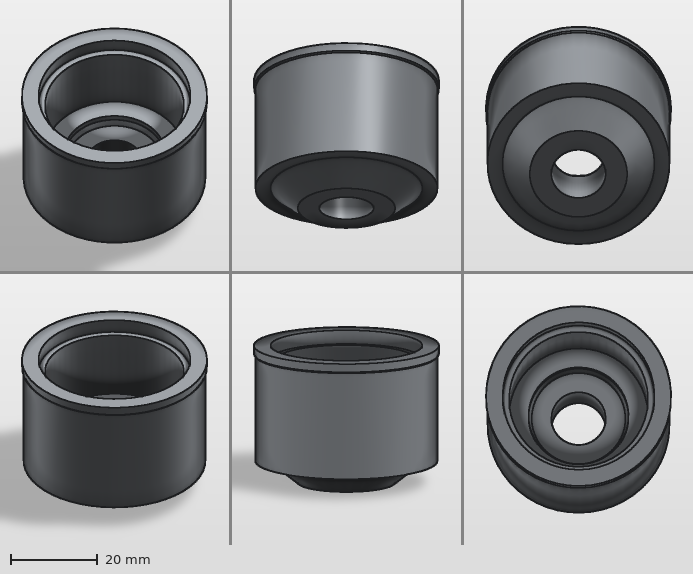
import cadquery as cq
import math

flange_diameter = 42.7
total_height = 32.2

flange_height = 2.25
body_diameter = 42.0
nose_height = 5.05
nose_top_diameter = 35.0
nose_bottom_diameter = 22.45

rim_recess_diameter = 35.0
rim_recess_depth = 3.2
bore_diameter = 32.02
bore_floor_depth = 19.0
seat_top_diameter = 23.05
seat_floor_diameter = 21.6
seat_wall_height = 1.32
seat_half_angle = 30.0
hole_diameter = 12.5


def revolve_half_section(points):
    """Closed half section of (radius, height) points turned once around the Z axis."""
    section = cq.Workplane("XZ").polyline(points).close()
    return section.revolve(360, (0, 0, 0), (0, 1, 0))


def make_outside():
    """Tapered nose, straight body and flange; a 45 degree taper joins body and flange."""
    flange_radius = flange_diameter / 2
    body_radius = body_diameter / 2
    flange_bottom = total_height - flange_height
    flange_taper_top = flange_bottom + (flange_radius - body_radius)
    return revolve_half_section([
        (0, 0),
        (nose_bottom_diameter / 2, 0),
        (nose_top_diameter / 2, nose_height),
        (body_radius, nose_height),
        (body_radius, flange_bottom),
        (flange_radius, flange_taper_top),
        (flange_radius, total_height),
        (0, total_height),
    ])


def make_cavity():
    """Rim recess, bore, seat with a tapered lower wall, and through hole."""
    ledge = total_height - rim_recess_depth
    bore_floor = total_height - bore_floor_depth
    seat_taper_top = bore_floor - seat_wall_height
    seat_taper_width = (seat_top_diameter - seat_floor_diameter) / 2
    seat_taper_height = seat_taper_width / math.tan(math.radians(seat_half_angle))
    seat_floor = seat_taper_top - seat_taper_height
    return revolve_half_section([
        (0, 0),
        (hole_diameter / 2, 0),
        (hole_diameter / 2, seat_floor),
        (seat_floor_diameter / 2, seat_floor),
        (seat_top_diameter / 2, seat_taper_top),
        (seat_top_diameter / 2, bore_floor),
        (bore_diameter / 2, bore_floor),
        (bore_diameter / 2, ledge),
        (rim_recess_diameter / 2, ledge),
        (rim_recess_diameter / 2, total_height),
        (0, total_height),
    ])


result = make_outside().cut(make_cavity())